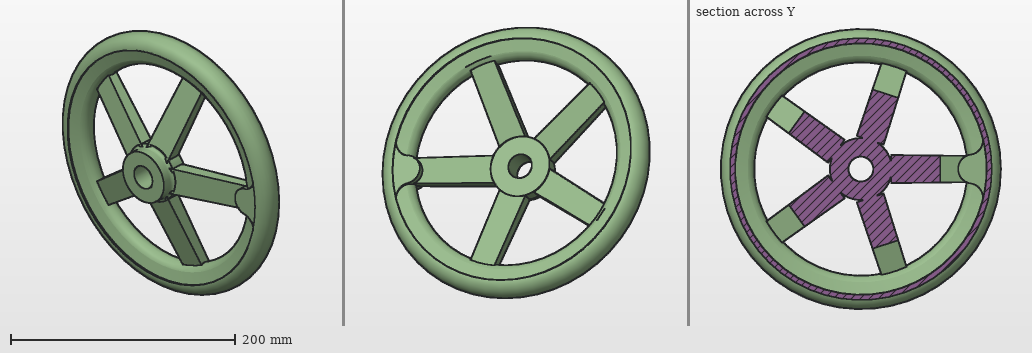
import cadquery as cq
import math

WHEEL_RADIUS = 125.0
GRIP_RADIUS = 13.0
STEP_RADIUS = 112.0
STEP_DEPTH = 1.5
BEAD_EDGE_RADIUS = 101.0
BEAD_EDGE_HALF_WIDTH = 8.7
RIM_INNER_RADIUS = 95.0

HUB_FACE_Y = -37.0
HUB_BACK_Y = -11.0
HUB_RADIUS = 24.5
HUB_BODY_RADIUS = 27.7
HUB_BODY_FACE_Y = -25.5
HUB_FILLET = HUB_BODY_RADIUS - HUB_RADIUS
BORE_RADIUS = 11.0

SPOKE_COUNT = 5
SPOKE_ROOT_RADIUS = 20.0
SPOKE_TIP_RADIUS = 100.0
SPOKE_ROOT_FRONT_Y = -27.2
SPOKE_TIP_FRONT_Y = -3.2
SPOKE_ROOT_THICKNESS = 13.5
SPOKE_TIP_THICKNESS = 10.0
SPOKE_ROOT_WIDTH = 25.5
SPOKE_TIP_WIDTH = 23.5

BOSS_CENTER_X = 99.7
BOSS_RADIUS = 13.0
BOSS_BLEND_RADIUS = 12.5
BOSS_HALF_LENGTH = GRIP_RADIUS - STEP_DEPTH


def make_cylinder(radius, y_start, y_end):
    """Solid cylinder on the wheel axis between two Y positions."""
    return cq.Workplane("XZ", origin=(0, y_start, 0)).circle(radius).extrude(y_start - y_end)


def make_rim():
    grip_center = WHEEL_RADIUS - GRIP_RADIUS
    grip_edge_y = math.sqrt(GRIP_RADIUS**2 - (STEP_RADIUS - grip_center) ** 2)
    bead_edge_y = GRIP_RADIUS - STEP_DEPTH
    profile = (
        cq.Workplane("XY")
        .moveTo(STEP_RADIUS, -grip_edge_y)
        .threePointArc((WHEEL_RADIUS, 0), (STEP_RADIUS, grip_edge_y))
        .lineTo(STEP_RADIUS, bead_edge_y)
        .lineTo(BEAD_EDGE_RADIUS, BEAD_EDGE_HALF_WIDTH)
        .threePointArc((RIM_INNER_RADIUS, 0), (BEAD_EDGE_RADIUS, -BEAD_EDGE_HALF_WIDTH))
        .lineTo(STEP_RADIUS, -bead_edge_y)
        .close()
    )
    return profile.revolve(360, (0, 0, 0), (0, 1, 0))


def make_hub():
    body = make_cylinder(HUB_BODY_RADIUS, HUB_BACK_Y, HUB_BODY_FACE_Y)
    fillet_start_y = HUB_BODY_FACE_Y - HUB_FILLET
    arc_offset = HUB_FILLET * (1 - math.sqrt(0.5))
    nose = (
        cq.Workplane("XY")
        .moveTo(0, HUB_BODY_FACE_Y)
        .lineTo(HUB_BODY_RADIUS, HUB_BODY_FACE_Y)
        .threePointArc(
            (HUB_RADIUS + arc_offset, HUB_BODY_FACE_Y - arc_offset),
            (HUB_RADIUS, fillet_start_y),
        )
        .lineTo(HUB_RADIUS, HUB_FACE_Y)
        .lineTo(0, HUB_FACE_Y)
        .close()
        .revolve(360, (0, 0, 0), (0, 1, 0))
    )
    return body.union(nose)


def make_spoke():
    """Spoke along +X: the sloped side shape cut to the tapered width."""
    side = (
        cq.Workplane("XY")
        .polyline([
            (SPOKE_ROOT_RADIUS, SPOKE_ROOT_FRONT_Y),
            (SPOKE_TIP_RADIUS, SPOKE_TIP_FRONT_Y),
            (SPOKE_TIP_RADIUS, SPOKE_TIP_FRONT_Y + SPOKE_TIP_THICKNESS),
            (SPOKE_ROOT_RADIUS, SPOKE_ROOT_FRONT_Y + SPOKE_ROOT_THICKNESS),
        ])
        .close()
        .extrude(SPOKE_ROOT_WIDTH, both=True)
    )
    width = (
        cq.Workplane("XZ")
        .polyline([
            (SPOKE_ROOT_RADIUS, -SPOKE_ROOT_WIDTH / 2),
            (SPOKE_TIP_RADIUS, -SPOKE_TIP_WIDTH / 2),
            (SPOKE_TIP_RADIUS, SPOKE_TIP_WIDTH / 2),
            (SPOKE_ROOT_RADIUS, SPOKE_ROOT_WIDTH / 2),
        ])
        .close()
        .extrude(-HUB_FACE_Y, both=True)
    )
    return side.intersect(width)


def make_handle_boss():
    """Round boss flaring into the step circle of the rim through tangent arcs."""
    blend_reach = BOSS_RADIUS + BOSS_BLEND_RADIUS
    blend_orbit = STEP_RADIUS - BOSS_BLEND_RADIUS
    center_x = (blend_orbit**2 - blend_reach**2 + BOSS_CENTER_X**2) / (2 * BOSS_CENTER_X)
    center_z = math.sqrt(blend_orbit**2 - center_x**2)
    boss_tangent_x = BOSS_CENTER_X + (center_x - BOSS_CENTER_X) * BOSS_RADIUS / blend_reach
    boss_tangent_z = center_z * BOSS_RADIUS / blend_reach
    rim_tangent_x = center_x * STEP_RADIUS / blend_orbit
    rim_tangent_z = center_z * STEP_RADIUS / blend_orbit

    chord_mid_x = (boss_tangent_x + rim_tangent_x) / 2
    chord_mid_z = (boss_tangent_z + rim_tangent_z) / 2
    chord_distance = math.hypot(chord_mid_x - center_x, chord_mid_z - center_z)
    arc_mid_x = center_x + (chord_mid_x - center_x) * BOSS_BLEND_RADIUS / chord_distance
    arc_mid_z = center_z + (chord_mid_z - center_z) * BOSS_BLEND_RADIUS / chord_distance

    return (
        cq.Workplane("XZ")
        .moveTo(rim_tangent_x, -rim_tangent_z)
        .threePointArc((STEP_RADIUS, 0), (rim_tangent_x, rim_tangent_z))
        .threePointArc((arc_mid_x, arc_mid_z), (boss_tangent_x, boss_tangent_z))
        .threePointArc((BOSS_CENTER_X - BOSS_RADIUS, 0), (boss_tangent_x, -boss_tangent_z))
        .threePointArc((arc_mid_x, -arc_mid_z), (rim_tangent_x, -rim_tangent_z))
        .close()
        .extrude(BOSS_HALF_LENGTH, both=True)
    )


result = make_rim().union(make_hub())
spoke = make_spoke()
for index in range(SPOKE_COUNT):
    angle = index * 360 / SPOKE_COUNT
    result = result.union(spoke.rotate((0, 0, 0), (0, 1, 0), angle))
result = result.union(make_handle_boss())
result = result.cut(make_cylinder(BORE_RADIUS, HUB_BACK_Y, HUB_FACE_Y))